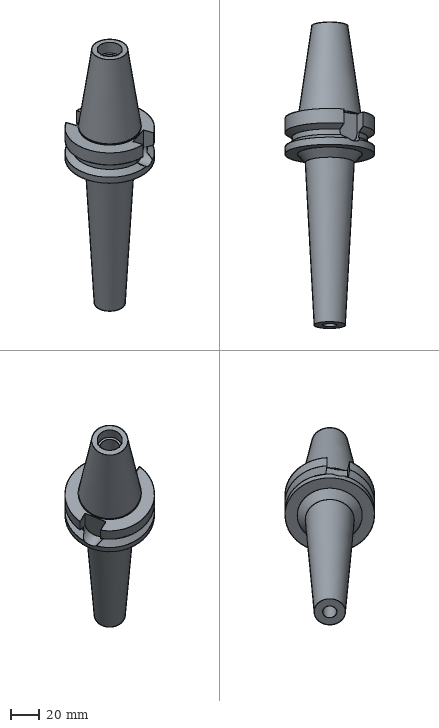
import cadquery as cq

total_length = 215.5
gauge_height = 150.0
flange_top = gauge_height - 1.0
flange_bottom = gauge_height - 27.0
collar_bottom = flange_bottom - 6.0

flange_diameter = 63.0
taper_small_diameter = 25.5
taper_large_diameter = 44.4
relief_diameter = 43.5
collar_diameter = 45.7
neck_diameter = 34.5
nose_diameter = 22.0

groove_diameter = 53.0
groove_center = gauge_height - 16.5
groove_floor_width = 3.9
groove_mouth_width = 10.3

slot_width = 16.2
slot_depth = 22.2
slot_floor_offset = 22.5

entry_diameter = 17.5
entry_depth = 9.0
thread_diameter = 13.8
thread_depth = 30.2
pilot_diameter = 11.6
pilot_depth = 38.8
coolant_diameter = 10.0


def make_body():
    """Revolve the taper, flange and nose about Z."""
    groove_floor_half = groove_floor_width / 2
    groove_mouth_half = groove_mouth_width / 2
    steps = [
        (nose_diameter, 0),
        (neck_diameter, collar_bottom),
        (collar_diameter, flange_bottom),
        (flange_diameter, flange_bottom),
        (flange_diameter, groove_center - groove_mouth_half),
        (groove_diameter, groove_center - groove_floor_half),
        (groove_diameter, groove_center + groove_floor_half),
        (flange_diameter, groove_center + groove_mouth_half),
        (flange_diameter, flange_top),
        (relief_diameter, flange_top),
        (relief_diameter, gauge_height),
        (taper_large_diameter, gauge_height),
        (taper_small_diameter, total_length),
    ]
    outline = [(diameter / 2, height) for diameter, height in steps]
    profile = cq.Workplane("XZ").polyline([(0, 0)] + outline + [(0, total_length)]).close()
    return profile.revolve(360, (0, 0, 0), (0, 1, 0))


def make_drive_slot(side):
    """Cutter for the drive slot on the +X (side=1) or -X (side=-1) flank."""
    half_width = slot_width / 2
    slot_bottom = flange_top - slot_depth
    arc_height = slot_bottom + half_width
    return (
        cq.Workplane("YZ", origin=(side * slot_floor_offset, 0, 0))
        .moveTo(-half_width, flange_top)
        .lineTo(-half_width, arc_height)
        .threePointArc((0, slot_bottom), (half_width, arc_height))
        .lineTo(half_width, flange_top)
        .close()
        .extrude(side * flange_diameter / 2)
    )


def make_bore(diameter, depth):
    """Cutter for a round bore going down from the small end of the taper."""
    return cq.Workplane("XY", origin=(0, 0, total_length)).circle(diameter / 2).extrude(-depth)


result = make_body()
for side in (-1, 1):
    result = result.cut(make_drive_slot(side))

bores = [
    (entry_diameter, entry_depth),
    (thread_diameter, thread_depth),
    (pilot_diameter, pilot_depth),
    (coolant_diameter, total_length),
]
for diameter, depth in bores:
    result = result.cut(make_bore(diameter, depth))